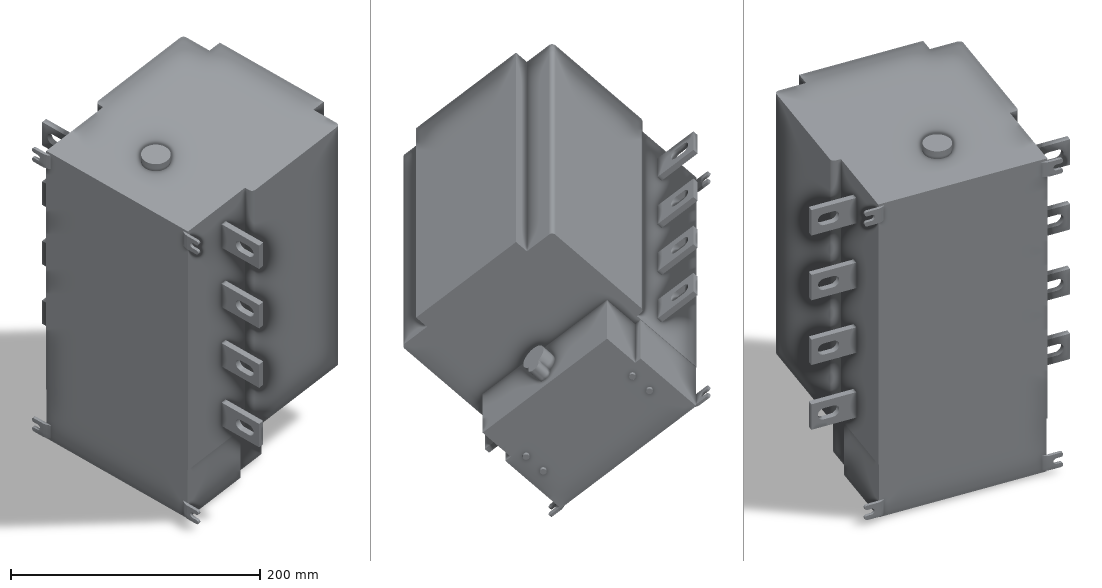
import cadquery as cq


HOUSING_WIDTH = 150.0
MIDDLE_WIDTH = 166.0
COVER_WIDTH = 110.0
MIDDLE_START = 70.0
MIDDLE_END = 177.5
HOUSING_DEPTH = 190.2
HOUSING_HEIGHT = 255.3
MIDDLE_CORNER_RADIUS = 3.6

LOWER_HEIGHT = 52.0
LOWER_FRONT_INSET = 0.5
LOWER_FRONT_DEPTH = 65.0
LOWER_REAR_DEPTH = 98.0
LOWER_REAR_INSET = 6.5

HOUSING_TOP = LOWER_HEIGHT + HOUSING_HEIGHT

TERMINAL_COUNT = 4
TERMINAL_PITCH = 63.6
TERMINAL_TOP_OFFSET = 32.2
TERMINAL_SPAN = 229.6
TERMINAL_HEIGHT = 25.0
TERMINAL_THICKNESS = 5.0
TERMINAL_DEPTH = 43.7
TERMINAL_SLOT_LENGTH = 19.0
TERMINAL_SLOT_HEIGHT = 11.0
TERMINAL_SLOT_X = 99.6

FOOT_OUTER_X = 88.0
FOOT_INNER_X = 69.8
FOOT_HEIGHT = 14.2
FOOT_EDGE_GAP = 2.3
FOOT_THICKNESS = 2.5
FOOT_SLOPE = [(73.6, 2.0), (71.3, 1.1)]
FOOT_SLOPE_START_X = 76.0
FOOT_TIP_RADIUS = 2.1
FOOT_SLOT_WIDTH = 5.6
FOOT_SLOT_END_X = 79.3

BUTTON_DIAMETER = 23.8
BUTTON_HEIGHT = 7.5
BUTTON_DEPTH = 47.6

STUD_DIAMETER = 5.4
STUD_LENGTH = 2.5
STUD_X = 58.5
STUD_DEPTHS = (37.7, 57.7)

KNOB_RADIUS = 11.2
KNOB_LENGTH = 13.3
KNOB_Z = 26.0
KEY_WIDTH = 11.0
KEY_REACH = 17.8
KEY_FILLET = 4.5


def box_between(x_range, y_range, z_range):
    """Box given by its limits along each axis."""
    size = [high - low for low, high in (x_range, y_range, z_range)]
    corner = (x_range[0], y_range[0], z_range[0])
    return cq.Workplane("XY").box(*size, centered=False).translate(corner)


def centred_box(width, y_range, z_range):
    """Box placed symmetrically about X = 0."""
    return box_between((-width / 2, width / 2), y_range, z_range)


def make_housing():
    z_range = (LOWER_HEIGHT, HOUSING_TOP)
    middle = centred_box(MIDDLE_WIDTH, (MIDDLE_START, MIDDLE_END), z_range)
    middle = middle.edges("|Z").fillet(MIDDLE_CORNER_RADIUS)
    front = centred_box(HOUSING_WIDTH, (0, MIDDLE_END), z_range)
    cover = centred_box(COVER_WIDTH, (MIDDLE_START, HOUSING_DEPTH), z_range)
    return middle.union(front).union(cover)


def make_lower_block():
    z_range = (0, LOWER_HEIGHT)
    front_width = HOUSING_WIDTH - 2 * LOWER_FRONT_INSET
    front = centred_box(front_width, (0, LOWER_FRONT_DEPTH), z_range)
    rear_width = HOUSING_WIDTH - 2 * LOWER_REAR_INSET
    rear = centred_box(rear_width, (0, LOWER_REAR_DEPTH), z_range)
    return front.union(rear)


def make_terminal(z):
    """Bar through the housing with a slotted lug at each end."""
    half_thickness = TERMINAL_THICKNESS / 2
    bar = centred_box(
        TERMINAL_SPAN,
        (TERMINAL_DEPTH - half_thickness, TERMINAL_DEPTH + half_thickness),
        (z - TERMINAL_HEIGHT / 2, z + TERMINAL_HEIGHT / 2),
    )
    slots = (
        cq.Workplane("XZ", origin=(0, TERMINAL_DEPTH, z))
        .pushPoints([(-TERMINAL_SLOT_X, 0), (TERMINAL_SLOT_X, 0)])
        .slot2D(TERMINAL_SLOT_LENGTH, TERMINAL_SLOT_HEIGHT)
        .extrude(TERMINAL_THICKNESS, both=True)
    )
    return bar.cut(slots)


def make_foot(z):
    """Foot on the +X side: a slotted plate that slopes down to the housing, with rounded prongs."""
    profile = [
        (FOOT_INNER_X, 0),
        *[(x, -thickness) for x, thickness in reversed(FOOT_SLOPE)],
        (FOOT_SLOPE_START_X, -FOOT_THICKNESS),
        (FOOT_OUTER_X, -FOOT_THICKNESS),
        (FOOT_OUTER_X, 0),
    ]
    plate = (
        cq.Workplane("XY", origin=(0, 0, z - FOOT_HEIGHT / 2))
        .polyline(profile)
        .close()
        .extrude(FOOT_HEIGHT)
    )
    slot_reach = FOOT_OUTER_X - FOOT_SLOT_END_X
    slot = (
        cq.Workplane("XZ", origin=(FOOT_OUTER_X, 0, z))
        .slot2D(2 * slot_reach, FOOT_SLOT_WIDTH)
        .extrude(FOOT_THICKNESS, both=True)
    )
    prongs = plate.cut(slot)
    return prongs.faces(">X").edges("|Y").fillet(FOOT_TIP_RADIUS)


def make_button():
    return (
        cq.Workplane("XY", origin=(0, BUTTON_DEPTH, HOUSING_TOP))
        .circle(BUTTON_DIAMETER / 2)
        .extrude(BUTTON_HEIGHT)
    )


def make_studs():
    centres = [(x, y) for x in (-STUD_X, STUD_X) for y in STUD_DEPTHS]
    return cq.Workplane("XY").pushPoints(centres).circle(STUD_DIAMETER / 2).extrude(-STUD_LENGTH)


def make_knob():
    y_range = (LOWER_REAR_DEPTH, LOWER_REAR_DEPTH + KNOB_LENGTH)
    barrel = (
        cq.Workplane("XZ", origin=(0, LOWER_REAR_DEPTH, KNOB_Z))
        .circle(KNOB_RADIUS)
        .extrude(-KNOB_LENGTH)
    )
    key = centred_box(KEY_WIDTH, y_range, (KNOB_Z - KEY_REACH, KNOB_Z))
    key = key.edges("|Y and <Z").fillet(KEY_FILLET)
    return barrel.union(key)


part = make_housing().union(make_lower_block())

for index in range(TERMINAL_COUNT):
    part = part.union(make_terminal(HOUSING_TOP - TERMINAL_TOP_OFFSET - index * TERMINAL_PITCH))

foot_inset = FOOT_EDGE_GAP + FOOT_HEIGHT / 2
for foot_z in (foot_inset, HOUSING_TOP - foot_inset):
    foot = make_foot(foot_z)
    part = part.union(foot).union(foot.mirror("YZ"))

result = part.union(make_button()).union(make_studs()).union(make_knob())